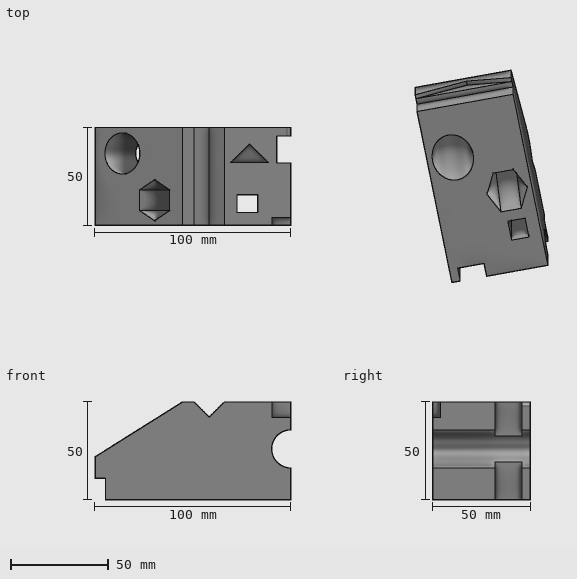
import cadquery as cq
import math

length = 100.0
width = 50.0
height = 50.0
step_depth = 5.2
step_height = 10.9
nose_height = 22.0
ramp_end_x = 44.6
vee_x = 58.3
vee_depth = 7.7
arc_radius = 9.7
arc_center_z = 26.0

ramp_hole_diameter = 21.0
round_hole_x = 13.9
round_hole_y = 36.7
hex_hole_x = 30.4
hex_hole_y = 12.8

nose_recess_depth = 2.2
nose_recess_apex_y = 23.3
nose_recess_apex_z = 17.5

square_hole_x = 77.8
square_hole_y = 11.1
square_hole_length = 10.5
square_hole_width = 9.0
triangle_x = 78.9
triangle_base_y = 32.1
triangle_half_base = 9.6
triangle_height = 9.4
triangle_depth = 5.0

end_slot_depth = 7.1
end_slot_min_y = 31.9
end_slot_max_y = 45.6
notch_length = arc_radius
notch_width = 4.1
notch_depth = 8.0
tab_edge_radius = 2.0

ramp_slope = (height - nose_height) / ramp_end_x
ramp_angle = math.atan(ramp_slope)
ramp_normal = (-math.sin(ramp_angle), 0, math.cos(ramp_angle))
through_length = 2 * length


def make_body():
    """Extrude the side profile across the full width."""
    profile = (
        cq.Workplane("XZ")
        .moveTo(step_depth, 0)
        .lineTo(length, 0)
        .lineTo(length, arc_center_z - arc_radius)
        .threePointArc((length - arc_radius, arc_center_z), (length, arc_center_z + arc_radius))
        .lineTo(length, height)
        .lineTo(vee_x + vee_depth, height)
        .lineTo(vee_x, height - vee_depth)
        .lineTo(vee_x - vee_depth, height)
        .lineTo(ramp_end_x, height)
        .lineTo(0, nose_height)
        .lineTo(0, step_height)
        .lineTo(step_depth, step_height)
        .close()
    )
    return profile.extrude(-width)


def ramp_workplane(x, y):
    """Workplane on the ramp, with its normal pointing out of the block."""
    origin = (x, y, nose_height + x * ramp_slope)
    return cq.Workplane(cq.Plane(origin=origin, xDir=(0, 1, 0), normal=ramp_normal))


def box_between(low, high):
    """Axis-aligned box between two opposite corners."""
    size = [b - a for a, b in zip(low, high)]
    return cq.Workplane("XY").box(*size, centered=False).translate(low)


def make_nose_recess():
    """Shallow triangular cut that opens onto the underside of the nose."""
    return (
        cq.Workplane("YZ")
        .polyline([(0, step_height), (width, step_height), (nose_recess_apex_y, nose_recess_apex_z)])
        .close()
        .extrude(nose_recess_depth)
    )


def make_triangle_pocket():
    return (
        cq.Workplane("XY", origin=(triangle_x, triangle_base_y, height))
        .polyline([(-triangle_half_base, 0), (triangle_half_base, 0), (0, triangle_height)])
        .close()
        .extrude(-triangle_depth)
    )


round_hole = ramp_workplane(round_hole_x, round_hole_y).circle(ramp_hole_diameter / 2).extrude(-through_length)
hex_hole = ramp_workplane(hex_hole_x, hex_hole_y).polygon(6, ramp_hole_diameter).extrude(-through_length)
square_hole = (
    cq.Workplane("XY")
    .center(square_hole_x, square_hole_y)
    .rect(square_hole_length, square_hole_width)
    .extrude(height)
)
end_slot = box_between((length - end_slot_depth, end_slot_min_y, 0), (length, end_slot_max_y, height))
corner_notch = box_between((length - notch_length, 0, height - notch_depth), (length, notch_width, height))

result = make_body().cut(end_slot)

tab_center_y = (end_slot_max_y + width) / 2
tab_edge = cq.selectors.NearestToPointSelector((length, tab_center_y, height))
result = result.edges(tab_edge).fillet(tab_edge_radius)

for cutter in (
    round_hole,
    hex_hole,
    square_hole,
    make_triangle_pocket(),
    make_nose_recess(),
    corner_notch,
):
    result = result.cut(cutter)